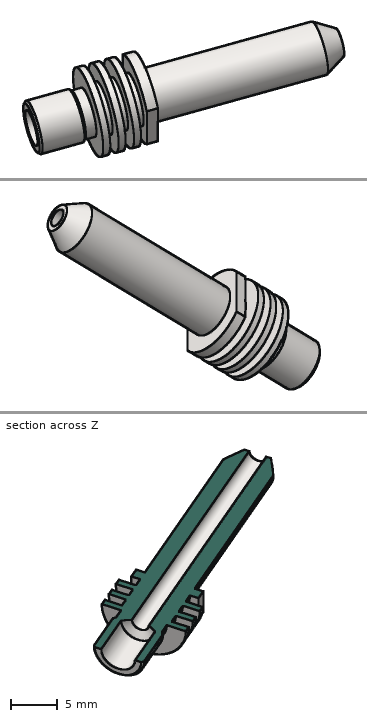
import cadquery as cq
import math

total_length = 35
body_diameter = 6.0
through_hole_diameter = 2.0

socket_length = 5.0
end_diameter = 5.5
edge_chamfer = (body_diameter - end_diameter) / 2
bore_diameter = 4.0
bore_depth = 5.0
bore_tip_angle = 118

neck_diameter = 5.5
shoulder_length = (body_diameter - neck_diameter) / 2

fin_diameter = 10.0
fin_thickness = 0.8
fin_count = 3
fin_pitch = 1.75
first_fin_start = 6.45
collar_start = 11.72
collar_thickness = 1.25
collar_width = 8.0

tip_diameter = 3.2
tip_length = 2.35


def disc(diameter, start, length):
    """Cylinder on the Y axis that begins at the given Y."""
    return (
        cq.Workplane("XZ", origin=(0, start, 0))
        .circle(diameter / 2)
        .extrude(-length)
    )


def make_body():
    """Revolved outer shape: socket end, neck, shaft and tapered tip."""
    body_radius = body_diameter / 2
    neck_radius = neck_diameter / 2
    outline = [
        (0, 0),
        (end_diameter / 2, 0),
        (body_radius, edge_chamfer),
        (body_radius, socket_length),
        (neck_radius, socket_length + shoulder_length),
        (neck_radius, first_fin_start),
        (body_radius, first_fin_start),
        (body_radius, total_length - tip_length),
        (tip_diameter / 2, total_length),
        (0, total_length),
    ]
    return cq.Workplane("XY").polyline(outline).close().revolve(360, (0, 0, 0), (0, 1, 0))


def make_collar():
    """Round collar cut to two flats facing -X and +X."""
    flats = cq.Workplane("XY").box(collar_width, 2 * total_length, fin_diameter)
    return disc(fin_diameter, collar_start, collar_thickness).intersect(flats)


def make_bore():
    """Through hole with a wider bore that ends in a drill cone."""
    bore_radius = bore_diameter / 2
    hole_radius = through_hole_diameter / 2
    cone_length = (bore_radius - hole_radius) / math.tan(math.radians(bore_tip_angle / 2))
    outline = [
        (0, 0),
        (bore_radius, 0),
        (bore_radius, bore_depth),
        (hole_radius, bore_depth + cone_length),
        (hole_radius, total_length),
        (0, total_length),
    ]
    return cq.Workplane("XY").polyline(outline).close().revolve(360, (0, 0, 0), (0, 1, 0))


result = make_body().union(make_collar())
for index in range(fin_count):
    fin_start = first_fin_start + index * fin_pitch
    result = result.union(disc(fin_diameter, fin_start, fin_thickness))
result = result.cut(make_bore())